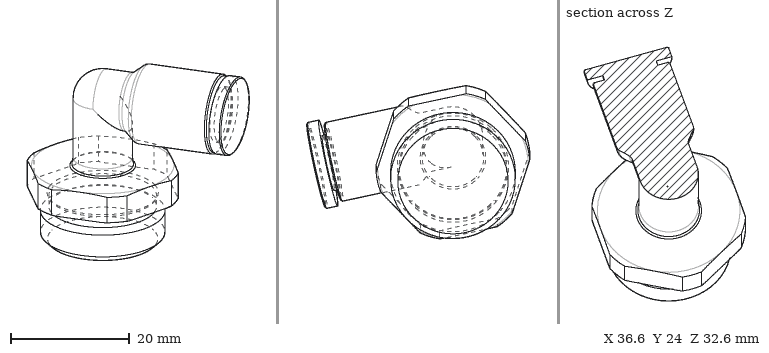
import cadquery as cq
import math

overall_length = 36.6


plug_radius = 10.5
plug_chamfer = 1.2
plug_top = 5.2
neck_radius = 9.08
neck_bottom = 5.95
neck_top = 7.98
neck_flare_radius = 9.37

hex_bottom = 8.45
hex_top = 13.47
hex_height = hex_top - hex_bottom
across_flats = 24.0
corner_radius = 13.0
corner_chamfer_angle = math.radians(15)
corner_slope = math.tan(corner_chamfer_angle)
top_flat_radius = across_flats / 2
bottom_flat_radius = 12.7

stem_radius = 5.0
arm_height = 25.8
skirt_top = 14.97
skirt_bottom = 13.72
skirt_radius = 5.2
skirt_foot_radius = 5.53

socket_radius = 6.8
socket_cone_start = 4.98
socket_cone_angle = math.radians(40)
socket_cone_end = socket_cone_start + (socket_radius - stem_radius) / math.tan(socket_cone_angle)
socket_cone_fillet = 1.0
socket_end = 20.75
socket_edge_chamfer = 0.25

collar_radius = 4.75
ring_start = 21.52
ring_end = overall_length - corner_radius
ring_half_width = 7.5
ring_half_height = 6.55
ring_chamfer = 0.22


def turned_about_z(points):
    """Revolve a closed (radius, height) outline about the stem axis."""
    return cq.Workplane("XZ").polyline(points).close().revolve(360, (0, 0, 0), (0, 1, 0))


def make_plug():
    return turned_about_z([
        (0, 0),
        (plug_radius - plug_chamfer, 0),
        (plug_radius, plug_chamfer),
        (plug_radius, plug_top),
        (neck_radius, neck_bottom),
        (neck_radius, neck_top),
        (neck_flare_radius, hex_bottom),
        (0, hex_bottom),
    ])


def make_hexagon():
    """Hexagon with two flats facing Y, trimmed by a chamfered cylinder."""
    across_corners = across_flats / math.cos(math.pi / 6)
    prism = cq.Workplane("XY", origin=(0, 0, hex_bottom)).polygon(6, across_corners).extrude(hex_height)
    trimmed_corners = turned_about_z([
        (0, hex_bottom),
        (bottom_flat_radius, hex_bottom),
        (corner_radius, hex_bottom + (corner_radius - bottom_flat_radius) * corner_slope),
        (corner_radius, hex_top - (corner_radius - top_flat_radius) * corner_slope),
        (top_flat_radius, hex_top),
        (0, hex_top),
    ])
    return prism.intersect(trimmed_corners)


def make_stem():
    """Upright stem with a flared skirt, capped by the ball of the elbow."""
    stem = turned_about_z([
        (0, hex_top),
        (skirt_foot_radius, hex_top),
        (skirt_radius, skirt_bottom),
        (stem_radius, skirt_top),
        (stem_radius, arm_height),
        (0, arm_height),
    ])
    ball = cq.Workplane("XY", origin=(0, 0, arm_height)).sphere(stem_radius)
    return stem.union(ball)


def make_arm():
    """Horizontal arm widening through a rounded cone into the tube socket."""
    arm = (
        cq.Workplane("XZ", origin=(0, 0, arm_height))
        .moveTo(0, 0)
        .lineTo(0, stem_radius)
        .lineTo(socket_cone_start, stem_radius)
        .lineTo(socket_cone_end, socket_radius)
        .lineTo(socket_end, socket_radius)
        .lineTo(socket_end, 0)
        .close()
        .revolve(360, (0, 0, 0), (1, 0, 0))
    )
    cone_edges = cq.selectors.BoxSelector(
        (socket_cone_start / 2, -stem_radius, arm_height - stem_radius),
        (socket_end / 2, stem_radius, arm_height + stem_radius),
    )
    arm = arm.edges("%CIRCLE").edges(cone_edges).fillet(socket_cone_fillet)
    return arm.faces(">X").edges().chamfer(socket_edge_chamfer)


def make_release_ring():
    collar = (
        cq.Workplane("YZ", origin=(socket_end, 0, arm_height))
        .circle(collar_radius)
        .extrude(ring_start - socket_end)
    )
    ring = (
        cq.Workplane("YZ", origin=(ring_start, 0, arm_height))
        .ellipse(ring_half_width, ring_half_height)
        .extrude(ring_end - ring_start)
        .faces(">X")
        .edges()
        .chamfer(ring_chamfer)
    )
    return collar.union(ring)


result = make_plug().union(make_hexagon()).union(make_stem()).union(make_arm()).union(make_release_ring())